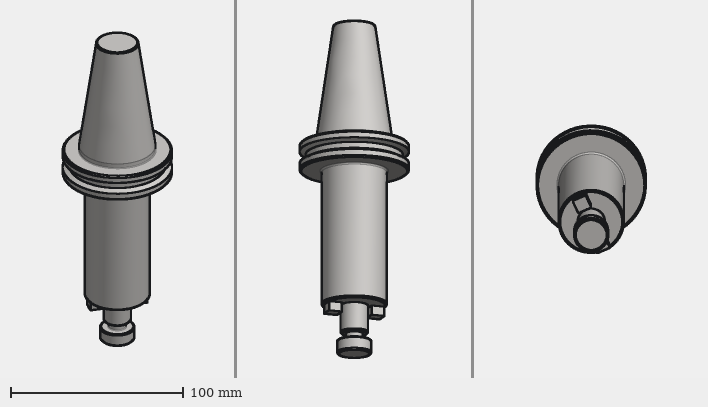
import cadquery as cq

total_length = 197.4
taper_length = 68.5
flange_top = -3.0
flange_bottom = -19.0
body_end = -99.9
pilot_length = 16.8
head_height = 8.0
pilot_end = body_end - pilot_length
screw_end = taper_length - total_length
head_top = screw_end + head_height

gauge_diameter = 44.5
taper_ratio = 7 / 24
small_diameter = gauge_diameter - taper_ratio * taper_length
flange_diameter = 63.5
body_diameter = 37.9
pilot_diameter = 16.0
neck_diameter = 10.0
head_diameter = 20.0

groove_centre = -10.9
groove_floor_diameter = 56.5
groove_floor_width = 3.5
groove_mouth_width = 7.1

taper_tip_chamfer = 0.5
edge_chamfer = 1.0
body_root_fillet = 1.0
collar_root_fillet = 0.4
neck_root_fillet = 0.4
head_top_chamfer = 0.5

key_width = 8.3
key_height = 5.5
key_outer_span = 34.5
key_inner_span = 18.4
key_chamfer = 0.4


def cylinder(diameter, bottom, top):
    """Cylinder on the Z axis between two heights."""
    return cq.Workplane("XY").workplane(offset=bottom).circle(diameter / 2).extrude(top - bottom)


def make_taper():
    cone = (
        cq.Workplane("XY")
        .circle(gauge_diameter / 2)
        .workplane(offset=taper_length)
        .circle(small_diameter / 2)
        .loft()
        .faces(">Z")
        .chamfer(taper_tip_chamfer)
    )
    return cone.union(cylinder(gauge_diameter, flange_top, 0))


def make_groove():
    """V-sided ring that is cut out of the flange rim."""
    floor_radius = groove_floor_diameter / 2
    rim_radius = flange_diameter / 2
    half_floor = groove_floor_width / 2
    half_mouth = groove_mouth_width / 2
    return (
        cq.Workplane("XZ")
        .moveTo(floor_radius, groove_centre - half_floor)
        .lineTo(rim_radius, groove_centre - half_mouth)
        .lineTo(rim_radius, groove_centre + half_mouth)
        .lineTo(floor_radius, groove_centre + half_floor)
        .close()
        .revolve(360, (0, 0, 0), (0, 1, 0))
    )


def make_flange():
    disc = cylinder(flange_diameter, flange_bottom, flange_top)
    return disc.faces("<Z or >Z").chamfer(edge_chamfer).cut(make_groove())


def make_body():
    return cylinder(body_diameter, body_end, flange_bottom).faces("<Z").chamfer(edge_chamfer)


def make_root_fillet(shaft_diameter, face_height, rise):
    """Concave ring blending a shaft into a flat face; a negative rise points it down."""
    inside = shaft_diameter / 2
    outside = inside + abs(rise)
    return (
        cq.Workplane("XZ")
        .moveTo(0, face_height)
        .lineTo(outside, face_height)
        .radiusArc((inside, face_height + rise), rise)
        .lineTo(0, face_height + rise)
        .close()
        .revolve(360, (0, 0, 0), (0, 1, 0))
    )


def make_pilot():
    return cylinder(pilot_diameter, pilot_end, body_end).faces("<Z").chamfer(edge_chamfer)


def make_screw():
    head = cylinder(head_diameter, screw_end, head_top).faces("<Z").chamfer(edge_chamfer)
    head = head.faces(">Z").chamfer(head_top_chamfer)
    neck = cylinder(neck_diameter, head_top, pilot_end)
    return head.union(neck).union(make_root_fillet(neck_diameter, head_top, neck_root_fillet))


def make_keys():
    """Pair of drive keys under the body, one on each side of the pilot along Y."""
    depth = (key_outer_span - key_inner_span) / 2
    centre_distance = (key_outer_span + key_inner_span) / 4
    return (
        cq.Workplane("XY")
        .workplane(offset=body_end - key_height)
        .pushPoints([(0, -centre_distance), (0, centre_distance)])
        .rect(key_width, depth)
        .extrude(key_height)
        .edges("|Z")
        .chamfer(key_chamfer)
    )


result = (
    make_taper()
    .union(make_flange())
    .union(make_root_fillet(gauge_diameter, flange_top, collar_root_fillet))
    .union(make_body())
    .union(make_root_fillet(body_diameter, flange_bottom, -body_root_fillet))
    .union(make_pilot())
    .union(make_keys())
    .union(make_screw())
)